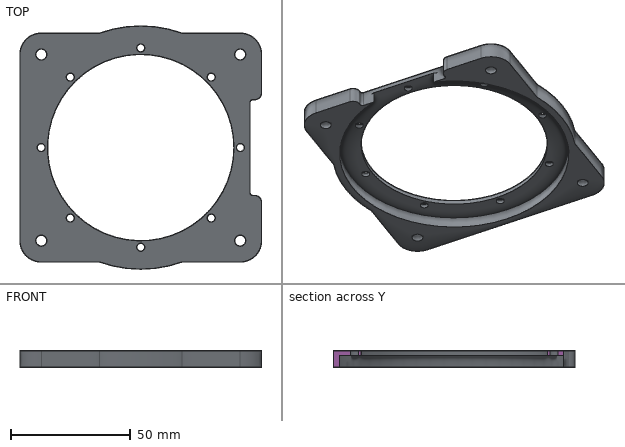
import cadquery as cq
import math

thickness = 7.0
plate_width = 101.34
plate_height = 96.0
corner_radius = 9.0

rim_diameter = 102.0
bore_diameter = 78.0

lip_thickness = 2.0
rim_wall = 3.0
recess_diameter = rim_diameter - 2 * rim_wall
recess_depth = thickness - lip_thickness

ring_hole_diameter = 3.24
ring_hole_count = 8
ring_circle_diameter = 83.5

mount_hole_diameter = 4.5
mount_spacing_x = plate_width - 2 * corner_radius
mount_spacing_y = plate_height - 2 * corner_radius

notch_depth = 4.8
notch_width = 40.0
notch_mouth_radius = 3.0
notch_root_radius = 1.0

half_width = plate_width / 2
half_height = plate_height / 2
half_notch = notch_width / 2
notch_floor_x = half_width - notch_depth


def sharp_plate():
    """Plate with the two rim bulges and the notch, before its corners are rounded."""
    rim_radius = rim_diameter / 2
    half_chord = math.sqrt(rim_radius**2 - half_height**2)
    return (
        cq.Workplane("XY")
        .moveTo(-half_width, -half_height)
        .lineTo(-half_chord, -half_height)
        .threePointArc((0, -rim_radius), (half_chord, -half_height))
        .lineTo(half_width, -half_height)
        .lineTo(half_width, -half_notch)
        .lineTo(notch_floor_x, -half_notch)
        .lineTo(notch_floor_x, half_notch)
        .lineTo(half_width, half_notch)
        .lineTo(half_width, half_height)
        .lineTo(half_chord, half_height)
        .threePointArc((0, rim_radius), (-half_chord, half_height))
        .lineTo(-half_width, half_height)
        .close()
        .extrude(thickness)
    )


def round_corner_pair(plate, x, y, radius):
    """Round the vertical edges at (x, y) and at its mirror image (x, -y)."""
    mid_height = thickness / 2
    upper = cq.selectors.NearestToPointSelector((x, y, mid_height))
    lower = cq.selectors.NearestToPointSelector((x, -y, mid_height))
    pair = cq.selectors.SumSelector(upper, lower)
    return plate.edges("|Z").edges(pair).fillet(radius)


def rounded_plate():
    """Plate with its outer corners and the notch corners rounded."""
    plate = sharp_plate()
    plate = round_corner_pair(plate, half_width, half_height, corner_radius)
    plate = round_corner_pair(plate, -half_width, half_height, corner_radius)
    plate = round_corner_pair(plate, half_width, half_notch, notch_mouth_radius)
    plate = round_corner_pair(plate, notch_floor_x, half_notch, notch_root_radius)
    return plate


def round_cutters(centres, diameter, depth):
    """Cylinders rising from the underside at the given centres."""
    return centres.circle(diameter / 2).extrude(depth)


base = cq.Workplane("XY")
ring_centres = base.polarArray(ring_circle_diameter / 2, 0, 360, ring_hole_count)
mount_centres = base.rarray(mount_spacing_x, mount_spacing_y, 2, 2)

bore = round_cutters(base, bore_diameter, thickness)
recess = round_cutters(base, recess_diameter, recess_depth)
ring_holes = round_cutters(ring_centres, ring_hole_diameter, thickness)
mount_holes = round_cutters(mount_centres, mount_hole_diameter, thickness)

result = rounded_plate().cut(bore).cut(recess).cut(ring_holes).cut(mount_holes)